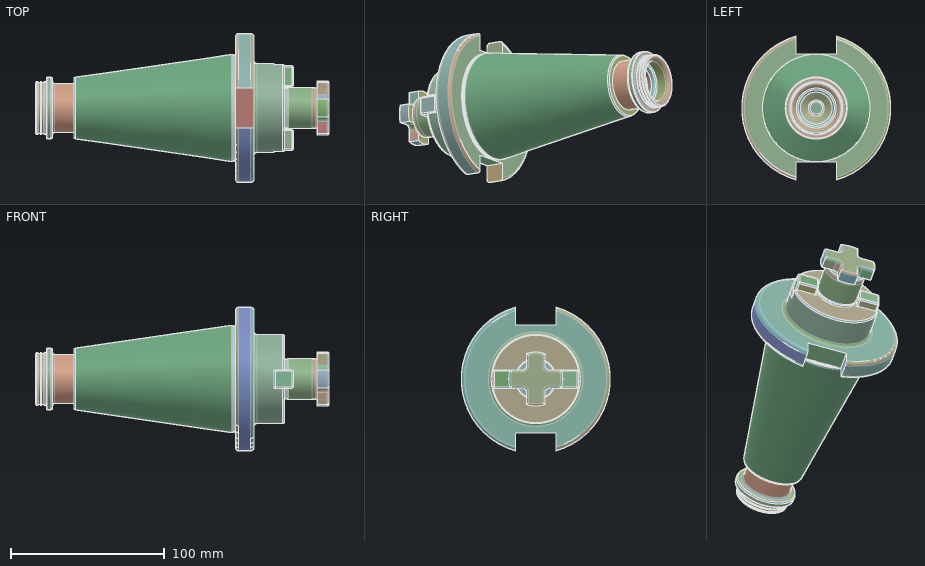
import cadquery as cq
import math

overall_length = 190.8

ring_radius = 17.2
ring_rim_radius = 16.5
ring_rim_chamfer = 0.8
ring_groove_radius = 16.6
ring_groove_starts = (1.5, 3.8)
ring_groove_width = 1.7
ring_root_fillet = 0.5
tail_flange_start = 7.0
tail_flange_end = 11.3
tail_flange_radius = 20.0
tail_flange_front_chamfer = 0.4
tail_flange_chamfer_length = 1.1
tail_flange_chamfer_depth = 0.5
neck_radius = 16.0
neck_fillet = 1.1

taper_start = 25.0
taper_start_chamfer_length = 1.1
taper_start_chamfer_depth = 0.5
taper_end = 127.3
taper_end_radius = 35.0
taper_slope = 7 / 48
gauge_land_end = 128.5
flange_groove_radius = 34.3
flange_groove_end = 129.5

flange_start = 130.1
flange_end = 142.1
flange_radius = 48.5
flange_front_fillet = 1.7
flange_back_fillet = 2.3
slot_width = 26.1
slot_floor = 35.1

collar_radius = 29.0
collar_end = 161.8
collar_root_fillet = 1.7
collar_end_chamfer_length = 1.1
collar_end_chamfer_depth = 0.5
spigot_radius = 13.4
undercut_radius = 13.0
undercut_length = 1.1
undercut_runout = 1.1
spigot_lead_start = 179.5
spigot_lead_end = 181.8
spigot_lead_radius = 13.2
spigot_tip_radius = 13.0

mouth_radius = 15.8
bore_radius = 13.0
bore_depth = 9.5
bore_step_radius = 11.8
bore_step_length = 0.5
thread_core_start = 12.2
thread_core_radius = 10.3
thread_core_end = 15.3
drill_point_angle = 118.0

key_start = 155.0
key_end = 167.5
key_width = 12.0
key_inner = 13.7
key_outer = 27.7
key_chamfer = 1.0

head_start = 183.0
head_radius = 17.5
lobe_width = 11.8
lobe_root_fillet = 2.9
head_edge_fillet = 1.3
shank_radius = 5.2
shank_length = 38.2
shank_tip_chamfer = 1.1


def revolve_about_x(outline):
    """Close an outline drawn as (x, radius) and spin it about the X axis."""
    return outline.close().revolve(360, (0, 0, 0), (1, 0, 0))


def fillet_mid(corner_x, corner_r, radius, x_side, r_side):
    """Middle point of a quarter arc whose centre lies towards x_side, r_side of the sharp corner."""
    offset = radius * (1 - math.sqrt(0.5))
    return (corner_x + x_side * offset, corner_r + r_side * offset)


def revolved_blank():
    """Everything on the holder that is turned on the outside."""
    taper_body_start = taper_start + taper_start_chamfer_length
    taper_start_radius = taper_end_radius - taper_slope * (taper_end - taper_body_start)
    outline = (
        cq.Workplane("XZ")
        .moveTo(0, 0)
        .lineTo(0, ring_rim_radius)
        .lineTo(ring_rim_chamfer, ring_radius)
        .lineTo(tail_flange_start - ring_root_fillet, ring_radius)
        .threePointArc(
            fillet_mid(tail_flange_start, ring_radius, ring_root_fillet, -1, 1),
            (tail_flange_start, ring_radius + ring_root_fillet),
        )
        .lineTo(tail_flange_start, tail_flange_radius - tail_flange_front_chamfer)
        .lineTo(tail_flange_start + tail_flange_front_chamfer, tail_flange_radius)
        .lineTo(tail_flange_end - tail_flange_chamfer_length, tail_flange_radius)
        .lineTo(tail_flange_end, tail_flange_radius - tail_flange_chamfer_depth)
        .lineTo(tail_flange_end, neck_radius + neck_fillet)
        .threePointArc(
            fillet_mid(tail_flange_end, neck_radius, neck_fillet, 1, 1),
            (tail_flange_end + neck_fillet, neck_radius),
        )
        .lineTo(taper_start, neck_radius)
        .lineTo(taper_start, taper_start_radius - taper_start_chamfer_depth)
        .lineTo(taper_body_start, taper_start_radius)
        .lineTo(taper_end, taper_end_radius)
        .lineTo(gauge_land_end, taper_end_radius)
        .lineTo(gauge_land_end, flange_groove_radius)
        .lineTo(flange_groove_end, flange_groove_radius)
        .lineTo(flange_groove_end, taper_end_radius)
        .lineTo(flange_start, taper_end_radius)
        .lineTo(flange_start, flange_radius - flange_front_fillet)
        .threePointArc(
            fillet_mid(flange_start, flange_radius, flange_front_fillet, 1, -1),
            (flange_start + flange_front_fillet, flange_radius),
        )
        .lineTo(flange_end - flange_back_fillet, flange_radius)
        .threePointArc(
            fillet_mid(flange_end, flange_radius, flange_back_fillet, -1, -1),
            (flange_end, flange_radius - flange_back_fillet),
        )
        .lineTo(flange_end, collar_radius + collar_root_fillet)
        .threePointArc(
            fillet_mid(flange_end, collar_radius, collar_root_fillet, 1, 1),
            (flange_end + collar_root_fillet, collar_radius),
        )
        .lineTo(collar_end - collar_end_chamfer_length, collar_radius)
        .lineTo(collar_end, collar_radius - collar_end_chamfer_depth)
        .lineTo(collar_end, undercut_radius)
        .lineTo(collar_end + undercut_length, undercut_radius)
        .lineTo(collar_end + undercut_length + undercut_runout, spigot_radius)
        .lineTo(spigot_lead_start, spigot_radius)
        .lineTo(spigot_lead_end, spigot_lead_radius)
        .lineTo(head_start, spigot_tip_radius)
        .lineTo(head_start, 0)
    )
    return revolve_about_x(outline)


def ring_groove(start):
    """Shallow groove around the tail ring."""
    return (
        cq.Workplane("YZ")
        .workplane(offset=start)
        .circle(tail_flange_radius)
        .circle(ring_groove_radius)
        .extrude(ring_groove_width)
    )


def tail_bore():
    """Bore with a rounded mouth, a step, a cone and a narrow hole that runs through to the spigot end."""
    mouth_fillet = mouth_radius - bore_radius
    cone_length = (thread_core_radius - shank_radius) / math.tan(math.radians(drill_point_angle / 2))
    outline = (
        cq.Workplane("XZ")
        .moveTo(0, 0)
        .lineTo(0, mouth_radius)
        .threePointArc(
            fillet_mid(0, bore_radius, mouth_fillet, 1, 1),
            (mouth_fillet, bore_radius),
        )
        .lineTo(bore_depth, bore_radius)
        .lineTo(bore_depth + bore_step_length, bore_step_radius)
        .lineTo(thread_core_start, thread_core_radius)
        .lineTo(thread_core_end, thread_core_radius)
        .lineTo(thread_core_end + cone_length, shank_radius)
        .lineTo(head_start, shank_radius)
        .lineTo(head_start, 0)
    )
    return revolve_about_x(outline)


def flange_slot(side):
    """Driving slot across the flange, on the +Z side (1) or the -Z side (-1)."""
    slot_height = flange_radius
    return cq.Workplane("XY").box(
        flange_end - flange_start, slot_width, slot_height
    ).translate(((flange_start + flange_end) / 2, 0, side * (slot_floor + slot_height / 2)))


def key_pocket(side):
    """Pocket in the end face of the collar, open outwards on the +Y side (1) or the -Y side (-1)."""
    pocket_length = collar_end - key_start
    pocket_height = collar_radius - key_inner
    return cq.Workplane("XY").box(
        pocket_length, pocket_height, key_width
    ).translate((key_start + pocket_length / 2, side * (key_inner + pocket_height / 2), 0))


def make_holder():
    holder = revolved_blank().cut(tail_bore())
    for start in ring_groove_starts:
        holder = holder.cut(ring_groove(start))
    for side in (-1, 1):
        holder = holder.cut(flange_slot(side))
        holder = holder.cut(key_pocket(side))
    return holder


def make_key(side):
    """Driving key with all its edges chamfered, on the +Y side (1) or the -Y side (-1)."""
    return (
        cq.Workplane("XY")
        .box(key_end - key_start, key_outer - key_inner, key_width)
        .edges()
        .chamfer(key_chamfer)
        .translate(((key_start + key_end) / 2, side * (key_inner + key_outer) / 2, 0))
    )


def screw_head():
    """Cross-shaped head with its inner face on the end of the spigot."""
    thickness = overall_length - head_start
    plane = cq.Workplane("YZ").workplane(offset=head_start)
    cross = plane.rect(2 * head_radius, lobe_width).extrude(thickness)
    cross = cross.union(plane.rect(lobe_width, 2 * head_radius).extrude(thickness))
    reach = lobe_width
    inner_corners = cq.selectors.BoxSelector((head_start, -reach, -reach), (overall_length, reach, reach))
    cross = cross.edges("|X").edges(inner_corners).fillet(lobe_root_fillet)
    head = cross.intersect(plane.circle(head_radius).extrude(thickness))
    return head.faces(">X").edges().fillet(head_edge_fillet)


def screw_shank():
    """Plain shank with a chamfered tip, filling the end of the narrow hole."""
    return (
        cq.Workplane("YZ")
        .workplane(offset=head_start - shank_length)
        .circle(shank_radius)
        .extrude(shank_length)
        .faces("<X")
        .chamfer(shank_tip_chamfer)
    )


def make_clamping_screw():
    return screw_head().union(screw_shank())


holder = make_holder()
keys = [make_key(side) for side in (-1, 1)]
clamping_screw = make_clamping_screw()

result = cq.Compound.makeCompound([holder.val(), *[key.val() for key in keys], clamping_screw.val()])